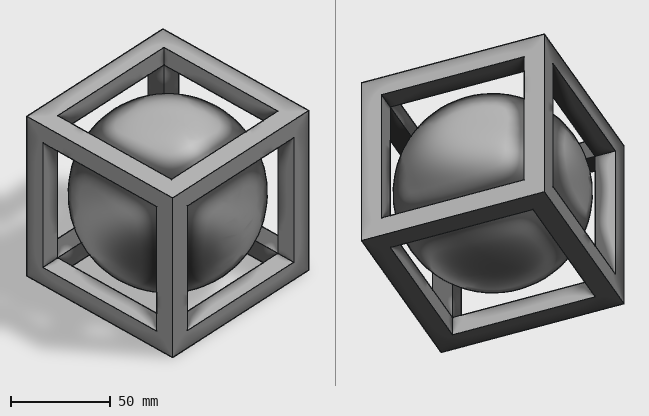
import cadquery as cq

cube_side = 100.0
bar_width = 11.0
ball_diameter = 100.0

window_side = cube_side - 2 * bar_width


def make_frame():
    """Cube cut through along each axis by a square window, leaving the twelve edge bars."""
    frame = cq.Workplane("XY").box(cube_side, cube_side, cube_side)
    for plane in ("XY", "XZ", "YZ"):
        window = cq.Workplane(plane).rect(window_side, window_side).extrude(cube_side, both=True)
        frame = frame.cut(window)
    return frame


def make_ball():
    """Loose ball at the centre of the frame, held in because it is wider than the windows."""
    return cq.Workplane("XY").sphere(ball_diameter / 2)


frame = make_frame()
ball = make_ball()

result = cq.Compound.makeCompound([frame.solids().val(), ball.val()])